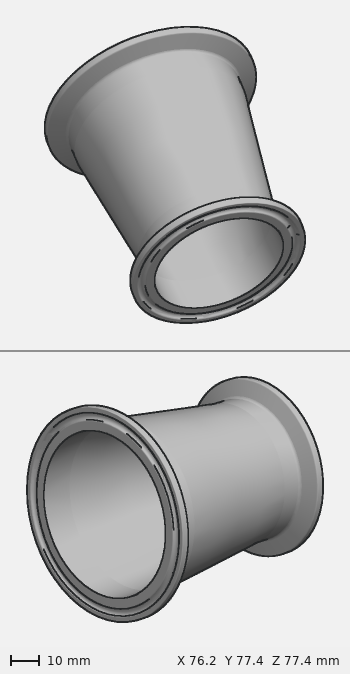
import cadquery as cq
import math

length = 76.2
end_length = 12.7
large_flange_radius = 77.4 / 2
large_tube_radius = 63.5 / 2
large_bore_radius = 60.2 / 2
small_flange_radius = 63.9 / 2
small_tube_radius = 50.8 / 2
small_bore_radius = 47.5 / 2

flange_back = 2.9
back_slope = math.radians(20)
front_edge_fillet = 0.3
back_edge_fillet = 0.6
root_fillet = 1.15

groove_inset = 3.5
groove_half_width = 1.4
groove_depth = 1.1
groove_edge_fillet = 0.55


def revolve_about_x(profile):
    return profile.revolve(360, (0, 0, 0), (1, 0, 0))


def circle_edges_at(body, x, radius):
    """Circular edges centred on the X axis with the given position and radius."""
    tolerance = 0.01
    return body.edges("%CIRCLE").filter(
        lambda edge: abs(edge.Center().x - x) < tolerance
        and abs(edge.radius() - radius) < tolerance
    )


def reducer_body():
    """Solid outer shape: two flanges, two straight ends and the cone between them."""
    large_root = flange_back + (large_flange_radius - large_tube_radius) * math.tan(back_slope)
    small_back = length - flange_back
    small_root = small_back - (small_flange_radius - small_tube_radius) * math.tan(back_slope)
    profile = cq.Workplane("XY").polyline([
        (0, 0),
        (0, large_flange_radius),
        (flange_back, large_flange_radius),
        (large_root, large_tube_radius),
        (end_length, large_tube_radius),
        (length - end_length, small_tube_radius),
        (small_root, small_tube_radius),
        (small_back, small_flange_radius),
        (length, small_flange_radius),
        (length, 0),
    ]).close()
    body = revolve_about_x(profile)

    flange_edges = [
        (0, large_flange_radius, front_edge_fillet),
        (flange_back, large_flange_radius, back_edge_fillet),
        (large_root, large_tube_radius, root_fillet),
        (small_root, small_tube_radius, root_fillet),
        (small_back, small_flange_radius, back_edge_fillet),
        (length, small_flange_radius, front_edge_fillet),
    ]
    for x, radius, fillet in flange_edges:
        body = circle_edges_at(body, x, radius).fillet(fillet)
    return body


def bore():
    """Through passage that tapers along with the outer cone."""
    profile = cq.Workplane("XY").polyline([
        (0, 0),
        (0, large_bore_radius),
        (end_length, large_bore_radius),
        (length - end_length, small_bore_radius),
        (length, small_bore_radius),
        (length, 0),
    ]).close()
    return revolve_about_x(profile)


def cut_gasket_groove(body, face_x, inward, flange_radius):
    """Cut a round-bottomed ring groove into an end face and round its two edges."""
    centre = flange_radius - groove_inset
    inner = centre - groove_half_width
    outer = centre + groove_half_width
    profile = (
        cq.Workplane("XY")
        .moveTo(face_x, inner)
        .threePointArc((face_x + inward * groove_depth, centre), (face_x, outer))
        .close()
    )
    body = body.cut(revolve_about_x(profile))
    for radius in (inner, outer):
        body = circle_edges_at(body, face_x, radius).fillet(groove_edge_fillet)
    return body


result = reducer_body().cut(bore())
result = cut_gasket_groove(result, 0, 1, large_flange_radius)
result = cut_gasket_groove(result, length, -1, small_flange_radius)